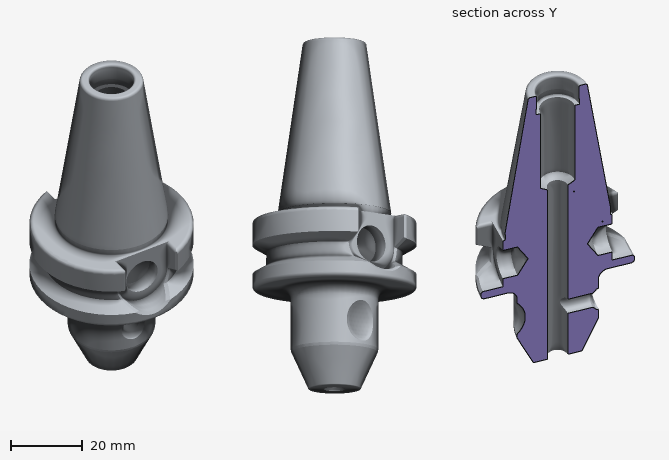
import cadquery as cq
import math

total_length = 98.4
gauge_z = 50.0
flange_top_z = 47.9
flange_bottom_z = 28.0

taper_ratio = 7 / 24
gauge_radius = 31.8 / 2
small_end_radius = gauge_radius - (total_length - gauge_z) * taper_ratio / 2
small_end_fillet = 0.9
relief_radius = 31.5 / 2
relief_fillet = 0.4

flange_radius = 46.0 / 2
flange_bottom_fillet = 1.2
flange_top_fillet = 1.2

groove_radius = 19.1
groove_centre_z = 36.6
groove_floor_height = 3.8
groove_flank_angle = math.radians(30)
groove_flank_height = (flange_radius - groove_radius) * math.tan(groove_flank_angle)
groove_floor_top_z = groove_centre_z + groove_floor_height / 2
groove_floor_bottom_z = groove_centre_z - groove_floor_height / 2

nose_radius = 24.5 / 2
nose_root_fillet = 2.8
nose_shoulder_z = 10.8
nose_shoulder_fillet = 2
nose_tip_radius = 7.3
nose_tip_fillet = 0.4

drill_tip_half_angle = math.radians(59)
tool_bore_radius = 6.0 / 2
thread_radius = 10.2 / 2
thread_bottom_z = 64
undercut_radius = 12.9 / 2
undercut_bottom_z = total_length - 6.9
pilot_radius = 12.5 / 2
pilot_bottom_z = total_length - 4.9
mouth_fillet = 0.7

slot_radius = 8.1
slot_floor_x = 16.3
slot_centre_z = 39.1
slot_rim_chamfer = 0.7
slot_top_fillet = 1

slot_hole_radius = 10.2 / 2
slot_hole_depth = 4.3

dimple_ball_radius = 7.9
dimple_bottom_x = 9.7
screw_hole_radius = 5.0 / 2
screw_mouth_radius = 3.7
nose_side_z = 17.8

groove_hole_radius = 4.2 / 2
groove_hole_depth = 10.8
groove_hole_angle = 20


def drill_tip_height(radius):
    return radius / math.tan(drill_tip_half_angle)


def fillet_middle(fillet):
    """Distance from either tangent face to the middle of a quarter-round fillet."""
    return fillet * (1 - math.sqrt(0.5))


def on_both_sides(tool):
    return tool.union(tool.mirror("YZ"))


def fillet_circle(body, radius, z, fillet):
    """Fillet the circular edges that have the given radius and height."""
    tolerance = 0.001
    edges = [
        edge
        for edge in body.edges("%CIRCLE").vals()
        if abs(edge.radius() - radius) < tolerance and abs(edge.startPoint().z - z) < tolerance
    ]
    return body.newObject(edges).fillet(fillet)


def make_body():
    """Turned body; the flange's top edge stays sharp until the slots are cut."""
    profile = [
        (0, 0),
        (nose_tip_radius, 0),
        (nose_radius, nose_shoulder_z),
        (nose_radius, flange_bottom_z),
        (flange_radius, flange_bottom_z),
        (flange_radius, groove_floor_bottom_z - groove_flank_height),
        (groove_radius, groove_floor_bottom_z),
        (groove_radius, groove_floor_top_z),
        (flange_radius, groove_floor_top_z + groove_flank_height),
        (flange_radius, flange_top_z),
        (relief_radius, flange_top_z),
        (relief_radius, gauge_z),
        (gauge_radius, gauge_z),
        (small_end_radius, total_length),
        (0, total_length),
    ]
    body = cq.Workplane("XZ").polyline(profile).close().revolve(360, (0, 0), (0, 1))
    body = fillet_circle(body, nose_tip_radius, 0, nose_tip_fillet)
    body = fillet_circle(body, nose_radius, nose_shoulder_z, nose_shoulder_fillet)
    body = fillet_circle(body, nose_radius, flange_bottom_z, nose_root_fillet)
    body = fillet_circle(body, flange_radius, flange_bottom_z, flange_bottom_fillet)
    body = fillet_circle(body, relief_radius, flange_top_z, relief_fillet)
    return fillet_circle(body, small_end_radius, total_length, small_end_fillet)


def make_slot():
    """U-shaped slot on the -X side, open at the flange top."""
    return (
        cq.Workplane("YZ", origin=(-slot_floor_x, 0, 0))
        .moveTo(-slot_radius, flange_top_z)
        .lineTo(-slot_radius, slot_centre_z)
        .threePointArc((0, slot_centre_z - slot_radius), (slot_radius, slot_centre_z))
        .lineTo(slot_radius, flange_top_z)
        .close()
        .extrude(-flange_radius)
    )


def make_slot_flare():
    """Widening of the -X slot that rounds the top edges of its walls."""
    wall_top_z = flange_top_z - slot_top_fillet
    flare_y = slot_radius + slot_top_fillet
    middle_y = slot_radius + fillet_middle(slot_top_fillet)
    middle_z = flange_top_z - fillet_middle(slot_top_fillet)
    return (
        cq.Workplane("YZ", origin=(-slot_floor_x, 0, 0))
        .moveTo(-flare_y, flange_top_z)
        .threePointArc((-middle_y, middle_z), (-slot_radius, wall_top_z))
        .lineTo(slot_radius, wall_top_z)
        .threePointArc((middle_y, middle_z), (flare_y, flange_top_z))
        .close()
        .extrude(-flange_radius)
    )


def chamfer_slot_rims(body):
    """Chamfer the slot wall edges that face outwards on the flange and groove."""
    clearance = 0.1
    near_x = slot_floor_x + clearance
    far_x = flange_radius + clearance
    half_width = slot_radius + clearance
    low_z = slot_centre_z - slot_radius
    high_z = flange_top_z - slot_top_fillet
    left_rim = cq.selectors.BoxSelector((-far_x, -half_width, low_z), (-near_x, half_width, high_z))
    right_rim = cq.selectors.BoxSelector((near_x, -half_width, low_z), (far_x, half_width, high_z))
    return body.edges(left_rim + right_rim).chamfer(slot_rim_chamfer)


def make_bore():
    """Stepped bore along the axis, open at both ends, with a rounded mouth."""
    cone_height = drill_tip_height(thread_radius - tool_bore_radius)
    mouth_middle = fillet_middle(mouth_fillet)
    return (
        cq.Workplane("XZ")
        .lineTo(tool_bore_radius, 0)
        .lineTo(tool_bore_radius, thread_bottom_z - cone_height)
        .lineTo(thread_radius, thread_bottom_z)
        .lineTo(thread_radius, undercut_bottom_z)
        .lineTo(undercut_radius, undercut_bottom_z)
        .lineTo(undercut_radius, pilot_bottom_z)
        .lineTo(pilot_radius, pilot_bottom_z)
        .lineTo(pilot_radius, total_length - mouth_fillet)
        .threePointArc(
            (pilot_radius + mouth_middle, total_length - mouth_middle),
            (pilot_radius + mouth_fillet, total_length),
        )
        .lineTo(0, total_length)
        .close()
        .revolve(360, (0, 0), (0, 1))
    )


def make_slot_hole():
    """Blind hole with a drill tip, in the slot floor on the -X side."""
    floor_x = -slot_floor_x
    bottom_x = floor_x + slot_hole_depth
    profile = [
        (floor_x, 0),
        (floor_x, slot_hole_radius),
        (bottom_x, slot_hole_radius),
        (bottom_x + drill_tip_height(slot_hole_radius), 0),
    ]
    hole = cq.Workplane("XY").polyline(profile).close().revolve(360, (0, 0), (1, 0))
    return hole.translate((0, 0, slot_centre_z))


def make_dimple():
    ball_x = -dimple_bottom_x - dimple_ball_radius
    return cq.Workplane("XY").sphere(dimple_ball_radius).translate((ball_x, 0, nose_side_z))


def make_screw_hole():
    """Radial hole into the tool bore, with a 45 degree countersink at the nose surface."""
    mouth_x = math.sqrt(nose_radius**2 - screw_mouth_radius**2)
    countersink_x = mouth_x - (screw_mouth_radius - screw_hole_radius)
    profile = [
        (0, 0),
        (0, screw_hole_radius),
        (countersink_x, screw_hole_radius),
        (mouth_x, screw_mouth_radius),
        (nose_radius, screw_mouth_radius),
        (nose_radius, 0),
    ]
    hole = cq.Workplane("XY").polyline(profile).close().revolve(360, (0, 0), (1, 0))
    return hole.translate((0, 0, nose_side_z))


def make_groove_hole():
    return (
        cq.Workplane("XZ", origin=(0, groove_hole_depth - groove_radius, groove_centre_z))
        .circle(groove_hole_radius)
        .extrude(groove_hole_depth)
        .rotate((0, 0, 0), (0, 0, 1), -groove_hole_angle)
    )


result = make_body().cut(on_both_sides(make_slot()))
result = chamfer_slot_rims(result)
result = fillet_circle(result, flange_radius, flange_top_z, flange_top_fillet)
result = result.cut(on_both_sides(make_slot_flare()))
result = result.cut(make_bore())
result = result.cut(on_both_sides(make_slot_hole()))
result = result.cut(make_dimple())
result = result.cut(make_screw_hole())
result = result.cut(make_groove_hole())